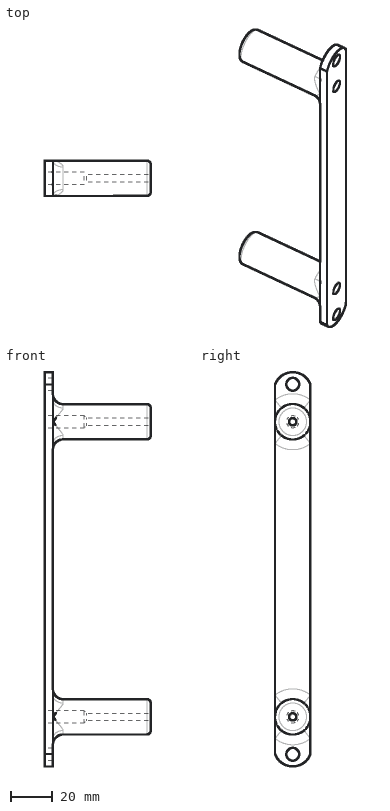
import cadquery as cq
import math

plate_length = 189.8
plate_width = 17.0
plate_thickness = 4.0
end_radius = 9.1

overall_depth = 51.0
peg_side_margin = 0.01
peg_diameter = plate_width - 2 * peg_side_margin
peg_spacing = 142.0
peg_end_round = 1.9
root_fillet_radius = 5.0

mounting_hole_diameter = 6.0
mounting_hole_inset = 5.9
bore_diameter = 3.5
drilling_diameter = 5.9
drilling_depth = 19.0
cone_angle = 90.0

half_length = plate_length / 2
half_width = plate_width / 2
peg_heights = (-peg_spacing / 2, peg_spacing / 2)


def make_plate():
    """Bar whose two ends are shallow arcs, slightly flatter than half circles."""
    end_rise = end_radius - math.sqrt(end_radius**2 - half_width**2)
    corner_height = half_length - end_rise
    return (
        cq.Workplane("YZ")
        .moveTo(-half_width, -corner_height)
        .threePointArc((0, -half_length), (half_width, -corner_height))
        .lineTo(half_width, corner_height)
        .threePointArc((0, half_length), (-half_width, corner_height))
        .close()
        .extrude(plate_thickness)
    )


def make_pegs():
    """Both pegs, each with a rounded rim at its free end."""
    return (
        cq.Workplane("YZ", origin=(plate_thickness, 0, 0))
        .pushPoints([(0, z) for z in peg_heights])
        .circle(peg_diameter / 2)
        .extrude(overall_depth - plate_thickness)
        .faces(">X")
        .edges()
        .fillet(peg_end_round)
    )


def fillet_peg_roots(body):
    """Round the circle where each peg meets the front face of the plate."""
    reach = peg_spacing / 2 + peg_diameter / 2
    root_zone = cq.selectors.BoxSelector(
        (plate_thickness / 2, -half_width, -reach),
        (plate_thickness * 2, half_width, reach),
    )
    return body.edges("%CIRCLE").edges(root_zone).fillet(root_fillet_radius)


def cut_mounting_holes(body):
    hole_height = half_length - mounting_hole_inset
    holes = (
        cq.Workplane("YZ")
        .pushPoints([(0, -hole_height), (0, hole_height)])
        .circle(mounting_hole_diameter / 2)
        .extrude(plate_thickness)
    )
    return body.cut(holes)


def cut_peg_bores(body):
    """Wide drilling from the back of the plate, narrowing in a cone to a bore through the peg."""
    drilling_radius = drilling_diameter / 2
    bore_radius = bore_diameter / 2
    cone_length = (drilling_radius - bore_radius) / math.tan(math.radians(cone_angle / 2))
    bore = (
        cq.Workplane("XY")
        .lineTo(0, drilling_radius)
        .lineTo(drilling_depth, drilling_radius)
        .lineTo(drilling_depth + cone_length, bore_radius)
        .lineTo(overall_depth, bore_radius)
        .lineTo(overall_depth, 0)
        .close()
        .revolve(360, (0, 0, 0), (1, 0, 0))
    )
    for z in peg_heights:
        body = body.cut(bore.translate((0, 0, z)))
    return body


result = make_plate().union(make_pegs())
result = fillet_peg_roots(result)
result = cut_mounting_holes(result)
result = cut_peg_bores(result)